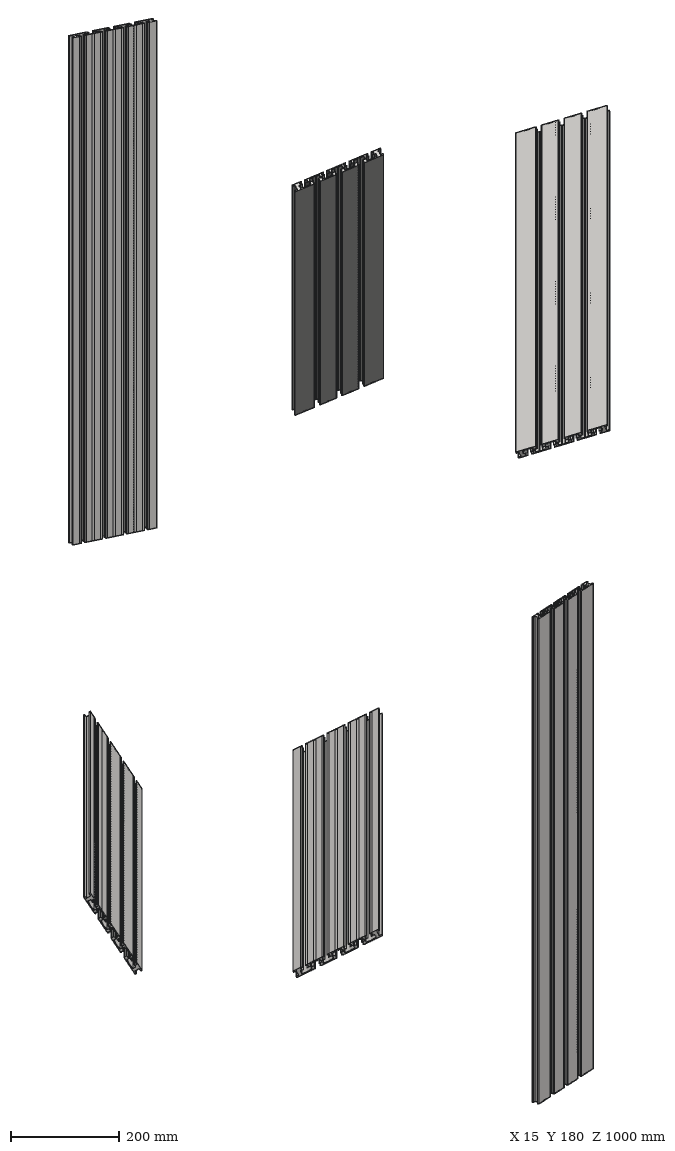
import cadquery as cq

THICKNESS = 15.0
WIDTH = 180
LENGTH = 1000

SLOT_PITCH = WIDTH / 4
BACK_SLOT_CENTERS = [i * SLOT_PITCH for i in (-1, 0, 1)]
FRONT_SLOT_CENTERS = [(i + 0.5) * SLOT_PITCH for i in (-2, -1, 0, 1)]

FLOOR_THICKNESS = 2.5
GROOVED_FLOOR_THICKNESS = 1.6

NOTCH_END = 6.0
LIP_DEPTH = 6.5
CAVITY_DEPTH = THICKNESS - FLOOR_THICKNESS
FLOOR_GROOVE_DEPTH = THICKNESS - GROOVED_FLOOR_THICKNESS
CAVITY_WIDTH = 21.0

BACK_NECK_WIDTH = 9.6
BACK_MOUTH_CHAMFER = 1.3
BACK_NOTCH_WIDTH = 12.0
BACK_NOTCH_START = 1.8
BACK_GROOVE_TOP = 8.0
BACK_GROOVE_BOTTOM = 5.0

FRONT_MOUTH_WIDTH = 7.0
FRONT_NOTCH_WIDTH = 15.0
FRONT_NOTCH_START = 1.4
FRONT_GROOVE_TOP = FRONT_NOTCH_WIDTH

EDGE_GROOVE_WIDTH = 9.2
EDGE_GROOVE_DEPTH = 5.5


def slot_cutter(side, center, steps, tip_depth=None):
    """Full-length cutter from (depth, width) steps, opening in the +X (1) or -X (-1) face.

    With a tip depth the cross-section ends in a point on its centre line.
    """
    face = THICKNESS / 2
    upper = [(side * (face - depth), center + width / 2) for depth, width in steps]
    lower = [(side * (face - depth), center - width / 2) for depth, width in reversed(steps)]
    tip = [] if tip_depth is None else [(side * (face - tip_depth), center)]
    outline = cq.Workplane("XY").polyline(upper + tip + lower).close()
    return outline.extrude(LENGTH / 2, both=True)


def back_slot(center):
    steps = [
        (0, BACK_NECK_WIDTH + 2 * BACK_MOUTH_CHAMFER),
        (BACK_MOUTH_CHAMFER, BACK_NECK_WIDTH),
        (BACK_NOTCH_START, BACK_NECK_WIDTH),
        (BACK_NOTCH_START, BACK_NOTCH_WIDTH),
        (NOTCH_END, BACK_NOTCH_WIDTH),
        (NOTCH_END, BACK_NECK_WIDTH),
        (LIP_DEPTH, BACK_NECK_WIDTH),
        (LIP_DEPTH, CAVITY_WIDTH),
        (CAVITY_DEPTH, CAVITY_WIDTH),
        (CAVITY_DEPTH, BACK_GROOVE_TOP),
        (FLOOR_GROOVE_DEPTH, BACK_GROOVE_BOTTOM),
    ]
    return slot_cutter(-1, center, steps)


def front_slot(center):
    steps = [
        (0, FRONT_MOUTH_WIDTH),
        (FRONT_NOTCH_START, FRONT_MOUTH_WIDTH),
        (FRONT_NOTCH_START, FRONT_NOTCH_WIDTH),
        (NOTCH_END, FRONT_NOTCH_WIDTH),
        (NOTCH_END, FRONT_MOUTH_WIDTH),
        (LIP_DEPTH, FRONT_MOUTH_WIDTH),
        (LIP_DEPTH, CAVITY_WIDTH),
        (CAVITY_DEPTH, CAVITY_WIDTH),
        (CAVITY_DEPTH, FRONT_GROOVE_TOP),
    ]
    return slot_cutter(1, center, steps, tip_depth=FLOOR_GROOVE_DEPTH)


def edge_groove(edge):
    """Rectangular groove along the +Y (1) or -Y (-1) edge."""
    groove = cq.Workplane("XY").box(EDGE_GROOVE_WIDTH, EDGE_GROOVE_DEPTH, LENGTH)
    return groove.translate((0, edge * (WIDTH - EDGE_GROOVE_DEPTH) / 2, 0))


panel = cq.Workplane("XY").box(THICKNESS, WIDTH, LENGTH)
for slot_center in BACK_SLOT_CENTERS:
    panel = panel.cut(back_slot(slot_center))
for slot_center in FRONT_SLOT_CENTERS:
    panel = panel.cut(front_slot(slot_center))
for edge in (-1, 1):
    panel = panel.cut(edge_groove(edge))

result = panel